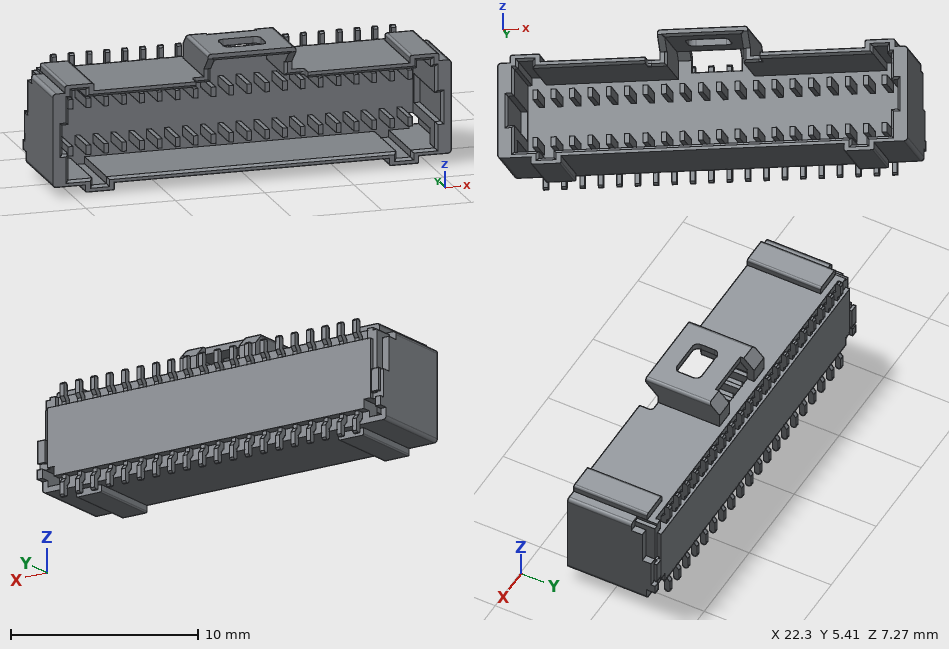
import cadquery as cq


housing_length = 22.3
housing_height = 5.21
rear_wall_front = 4.09
housing_depth = 4.83
end_block_rear = 5.10
end_block_inner_x = 10.13
rear_strip_rear = 5.35
rear_strip_height = 3.9
end_strip_top = 1.18
end_edge_radius = 0.2
mid_height = housing_height / 2
half_length = housing_length / 2

cavity_half_length = 10.26
cavity_floor = 0.32
cavity_ceiling = 4.88
lead_in = 0.14

upper_rib_edge_radius = 0.13
lower_rib_edge_radius = 0.08
upper_rib_center_x = 9.65
upper_rib_width = 1.63
upper_rib_top = 5.63
upper_rib_depth = 4.48
upper_channel_width = 0.78
upper_channel_top = 5.29
lower_rib_center_x = 8.51
lower_rib_width = 1.62
lower_rib_bottom = -0.41
lower_rib_depth = 4.30
lower_channel_width = 0.81
lower_channel_bottom = -0.07

end_groove_bottom = 1.79
end_groove_top = 3.41
end_groove_x = 10.60

latch_half_width = 2.46
latch_inner_half_width = 2.08
latch_top = 6.67
latch_ceiling = 6.30
latch_rear = 4.51
latch_rear_chamfer = 0.63
latch_edge_radius = 0.17
latch_notch_depth = 0.77
latch_notch_half_width = 3.13
latch_notch_radius = 0.2
latch_ramp_top = 6.41
rear_slot_half_width = 1.38
rear_slot_front = 3.67
window_half_width = 1.18
window_front = 1.04
window_rear = 2.54
window_radius = 0.35

contacts_per_row = 20
contact_pitch = 1.0
contact_width = 0.26
blade_height = 0.52
blade_offset_z = 1.31
blade_tip = 2.12
lead_front = 4.86
lead_rear = 5.20
tail_front = 5.08
tail_rear = 5.41
bend_start = 2.17
bend_end = 2.42
bend_inner_shift = 0.14
tail_reach = 3.205
tail_tip_chamfer = 0.1

clip_slot_front = 3.89
clip_outer_x = 10.73
clip_inner_x = 10.48
clip_top = 5.07
clip_shoulder_z = 4.73
clip_leg_front = 4.56
clip_leg_bottom = 2.77
foot_bottom = 1.50
foot_inner_x = 10.60
foot_outer_x = 11.07
foot_front = 5.23

rear_opening_inner_x = 10.06
side_pocket_x = 10.81
side_pocket_front = 1.0


def block(x0, x1, y0, y1, z0, z1):
    """Box between two opposite corners."""
    return cq.Workplane("XY").box(x1 - x0, y1 - y0, z1 - z0, centered=False).translate((x0, y0, z0))


def both_ends(shape):
    """The shape together with its mirror image across the YZ plane."""
    return shape.union(shape.mirror("YZ"))


def upper_rib():
    rib = block(upper_rib_center_x - upper_rib_width / 2, upper_rib_center_x + upper_rib_width / 2,
                0, upper_rib_depth, mid_height, upper_rib_top)
    return rib.edges("|Y and >Z").fillet(upper_rib_edge_radius)


def lower_rib():
    rib = block(lower_rib_center_x - lower_rib_width / 2, lower_rib_center_x + lower_rib_width / 2,
                0, lower_rib_depth, lower_rib_bottom, mid_height)
    return rib.edges("|Y and <Z").fillet(lower_rib_edge_radius)


def latch_bridge():
    bridge = block(-latch_half_width, latch_half_width, 0, latch_rear, mid_height, latch_top)
    bridge = bridge.edges("|X and >Z and >Y").chamfer(latch_rear_chamfer)
    return bridge.edges("|Y and >Z").fillet(latch_edge_radius)


def rear_strip():
    """Raised band across the rear face; outside the clips only its low part remains."""
    bottom = mid_height - rear_strip_height / 2
    middle = block(-clip_inner_x, clip_inner_x, rear_wall_front, rear_strip_rear,
                   bottom, bottom + rear_strip_height)
    return middle.union(block(-half_length, half_length, rear_wall_front, rear_strip_rear,
                              bottom, end_strip_top))


def outer_body():
    body = block(-half_length, half_length, 0, housing_depth, 0, housing_height)
    end_block = block(end_block_inner_x, half_length, rear_wall_front, end_block_rear,
                      end_strip_top, housing_height)
    body = body.union(both_ends(end_block))
    body = body.edges("|Y and (>X or <X) and (>Z or <Z)").fillet(end_edge_radius)
    body = body.union(both_ends(upper_rib().union(lower_rib())))
    return body.union(latch_bridge()).union(rear_strip())


def flare(x0, x1, z0, z1, y):
    """Lead-in around a rectangular opening, widest at depth y."""
    width = x1 - x0
    height = z1 - z0
    mouth_plane = cq.Plane(origin=((x0 + x1) / 2, y, (z0 + z1) / 2), xDir=(1, 0, 0), normal=(0, -1, 0))
    return (cq.Workplane(mouth_plane).rect(width + 2 * lead_in, height + 2 * lead_in)
            .workplane(offset=-lead_in).rect(width, height).loft(ruled=True))


def cavity_regions():
    """Rectangles (x0, x1, z0, z1) and depths that together form the mating cavity."""
    regions = [
        (-cavity_half_length, cavity_half_length, cavity_floor, cavity_ceiling, rear_wall_front),
        (-latch_inner_half_width, latch_inner_half_width, mid_height, latch_ceiling, rear_wall_front),
        (-end_groove_x, end_groove_x, end_groove_bottom, end_groove_top, clip_slot_front),
    ]
    for side in (-1, 1):
        upper_x = side * upper_rib_center_x
        lower_x = side * lower_rib_center_x
        regions.append((upper_x - upper_channel_width / 2, upper_x + upper_channel_width / 2,
                        mid_height, upper_channel_top, rear_wall_front))
        regions.append((lower_x - lower_channel_width / 2, lower_x + lower_channel_width / 2,
                        lower_channel_bottom, mid_height, rear_wall_front))
    return regions


def cut_cavity(body):
    for x0, x1, z0, z1, depth in cavity_regions():
        body = body.cut(block(x0, x1, 0, depth, z0, z1))
        body = body.cut(flare(x0, x1, z0, z1, 0))
    return body


def cut_latch_front(body):
    """Notch beside and below the bridge, ending in a ramp on its side walls."""
    ramp_base = latch_ramp_top - latch_notch_depth
    notch = block(-latch_notch_half_width, latch_notch_half_width, 0, latch_notch_depth,
                  mid_height, ramp_base)
    notch = notch.edges("|Z and >Y").fillet(latch_notch_radius)
    ramp = (cq.Workplane("YZ")
            .polyline([(0, ramp_base), (latch_notch_depth, ramp_base), (0, latch_ramp_top)]).close()
            .extrude(latch_half_width, both=True))
    notch_zone = block(-latch_notch_half_width, latch_notch_half_width, latch_notch_depth,
                       latch_notch_depth + lead_in, mid_height, ramp_base)
    main_flare = flare(-cavity_half_length, cavity_half_length, cavity_floor, cavity_ceiling,
                       latch_notch_depth)
    latch_flare = flare(-latch_inner_half_width, latch_inner_half_width, mid_height, latch_ceiling,
                        latch_notch_depth)
    notch_lead_in = main_flare.union(latch_flare).intersect(notch_zone)
    return body.cut(notch).cut(ramp).cut(notch_lead_in)


def cut_latch_openings(body):
    """Bevel the rear of the bridge ceiling, then cut the rear slot and the window."""
    rear_slot = block(-rear_slot_half_width, rear_slot_half_width, rear_slot_front, latch_rear,
                      housing_height, latch_top)
    window = block(-window_half_width, window_half_width, window_front, window_rear,
                   mid_height, latch_top)
    bevel_bottom = latch_ceiling - (rear_wall_front - rear_slot_front)
    ceiling_bevel = (cq.Workplane("YZ")
                     .polyline([(rear_slot_front, latch_ceiling), (rear_wall_front, latch_ceiling),
                                (rear_wall_front, bevel_bottom)]).close()
                     .extrude(latch_inner_half_width, both=True))
    body = body.union(ceiling_bevel)
    return body.cut(rear_slot).cut(window.edges("|Z").fillet(window_radius))


def cut_end_openings(body):
    """Clip recesses in the end walls and the pockets that open through the rear face."""
    shoulder = block(clip_outer_x, half_length, clip_slot_front, end_block_rear,
                     clip_shoulder_z, housing_height)
    leg = block(clip_outer_x, half_length, clip_leg_front, end_block_rear,
                clip_leg_bottom, housing_height)
    above_clip = block(clip_inner_x, half_length, clip_slot_front, end_block_rear,
                       clip_top, housing_height)
    opening = block(rear_opening_inner_x, side_pocket_x, side_pocket_front, rear_strip_rear,
                    cavity_floor, end_strip_top)
    return body.cut(both_ends(shoulder.union(leg).union(above_clip).union(opening)))


def clip_foot():
    """Solder foot of a clip with the neck that joins it to the end wall."""
    foot = block(foot_inner_x, foot_outer_x, foot_front, tail_rear, foot_bottom, clip_leg_bottom)
    neck = block(clip_inner_x, clip_outer_x, rear_wall_front, foot_front, foot_bottom, clip_leg_bottom)
    return foot.union(neck)


def contact(x):
    """Upper-row contact: a blade in the cavity and an offset tail at the rear."""
    blade_center = mid_height + blade_offset_z
    blade = block(x - contact_width / 2, x + contact_width / 2, blade_tip, lead_rear,
                  blade_center - blade_height / 2, blade_center + blade_height / 2)
    lead_points = [
        (lead_front, blade_center),
        (lead_rear, blade_center),
        (lead_rear, mid_height + bend_start),
        (tail_rear, mid_height + bend_end),
        (tail_rear, mid_height + tail_reach - tail_tip_chamfer),
        (tail_rear - tail_tip_chamfer, mid_height + tail_reach),
        (tail_front + tail_tip_chamfer, mid_height + tail_reach),
        (tail_front, mid_height + tail_reach - tail_tip_chamfer),
        (tail_front, mid_height + bend_end + bend_inner_shift),
        (lead_front, mid_height + bend_start + bend_inner_shift),
    ]
    lead = (cq.Workplane("YZ", origin=(x, 0, 0)).polyline(lead_points).close()
            .extrude(contact_width / 2, both=True))
    return blade.union(lead)


def add_contacts(body):
    first_x = -(contacts_per_row - 1) * contact_pitch / 2
    for index in range(contacts_per_row):
        upper = contact(first_x + index * contact_pitch)
        lower = upper.mirror("XY", (0, 0, mid_height))
        body = body.union(upper).union(lower)
    return body


housing = cut_cavity(outer_body())
housing = cut_latch_front(housing)
housing = cut_latch_openings(housing)
housing = cut_end_openings(housing)
housing = housing.union(both_ends(clip_foot()))
result = add_contacts(housing)